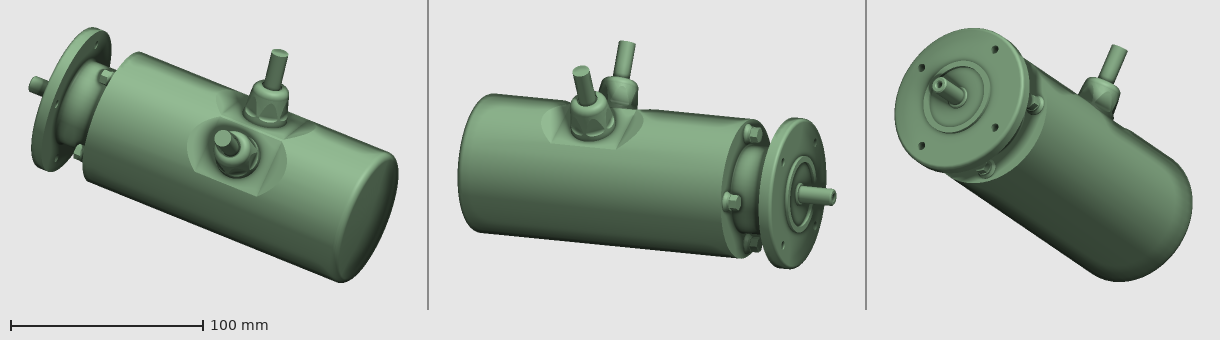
import cadquery as cq
import math


pilot_face_x = 17.7
flange_front_x = 19.5
flange_back_x = 26.3
housing_front_x = 48.8
housing_end_x = 199.0

housing_dia = 73.0
end_corner_radius = 3.5
end_dome_rise = 1.3
neck_dia = 46.0
neck_root_fillet = 1.4
neck_end_fillet = 0.5
flange_dia = 79.0
flange_edge_fillet = 1.8
flange_hole_dia = 4.5
flange_hole_spacing = 44.5
pilot_dia = 40.0
pilot_recess_dia = 34.0

shaft_dia = 9.0
shaft_tip_dia = 7.5
shaft_hole_dia = 3.4
shaft_hole_mouth_dia = 4.5
shaft_hole_depth = 8.0
drill_point_angle = 118
shaft_collar_dia = 12.0
shaft_collar_top_dia = 10.7
shaft_collar_height = 1.2

hexagon_sides = 6

screw_count = 4
screw_circle_radius = 29.5
screw_height = 7.2
screw_across_flats = 7.2
screw_tip_dia = 7.5
screw_tip_chamfer_angle = 30
screw_collar_dia = 8.5
screw_collar_top = 3.2
screw_cone_top = 2.0
screw_washer_dia = 10.7
screw_washer_edge = 0.5

seat_angle = 27.0
seat_x = 129.0
seat_radius = 32.8
seat_length = 36.5
seat_mouth_length = 55.7

gland_base_dia = 23.9
gland_shoulder_dia = 19.7
gland_shoulder_height = 14.7
gland_top_height = 18.5
gland_opening_dia = 10.7
gland_opening_depth = 1.0
gland_across_flats = 20.0
gland_ledge_height = 2.8
gland_ledge_fillet = 2.4
cable_dia = 9.0
cable_end_height = 38.2


def turned(outline):
    """Turn an outline of (X, radius) points about the motor axis."""
    return outline.close().revolve(360, (0, 0, 0), (1, 0, 0))


def make_flange_and_neck():
    """Mounting flange with its hollow pilot ring and shaft collar, and the neck behind it."""
    collar_top_x = flange_front_x - shaft_collar_height
    collar_chamfer = (shaft_collar_dia - shaft_collar_top_dia) / 2
    outline = (
        cq.Workplane("XY")
        .moveTo(collar_top_x, 0)
        .lineTo(collar_top_x, shaft_collar_top_dia / 2)
        .lineTo(collar_top_x + collar_chamfer, shaft_collar_dia / 2)
        .lineTo(flange_front_x, shaft_collar_dia / 2)
        .lineTo(flange_front_x, pilot_recess_dia / 2)
        .lineTo(pilot_face_x, pilot_recess_dia / 2)
        .lineTo(pilot_face_x, pilot_dia / 2)
        .lineTo(flange_front_x, pilot_dia / 2)
        .lineTo(flange_front_x, flange_dia / 2 - flange_edge_fillet)
        .radiusArc((flange_front_x + flange_edge_fillet, flange_dia / 2), flange_edge_fillet)
        .lineTo(flange_back_x, flange_dia / 2)
        .lineTo(flange_back_x, neck_dia / 2 + neck_root_fillet)
        .radiusArc((flange_back_x + neck_root_fillet, neck_dia / 2), -neck_root_fillet)
        .lineTo(housing_front_x - neck_end_fillet, neck_dia / 2)
        .radiusArc((housing_front_x, neck_dia / 2 + neck_end_fillet), -neck_end_fillet)
        .lineTo(housing_front_x, 0)
    )
    holes = (
        cq.Workplane("YZ", origin=(flange_front_x, 0, 0))
        .rect(flange_hole_spacing, flange_hole_spacing, forConstruction=True)
        .vertices()
        .circle(flange_hole_dia / 2)
        .extrude(flange_back_x - flange_front_x)
    )
    return turned(outline).cut(holes)


def make_shaft():
    """Shaft with a chamfered tip and a countersunk centre hole."""
    tip_chamfer = (shaft_dia - shaft_tip_dia) / 2
    countersink_depth = (shaft_hole_mouth_dia - shaft_hole_dia) / 2
    drill_point_depth = shaft_hole_dia / 2 / math.tan(math.radians(drill_point_angle / 2))
    outline = (
        cq.Workplane("XY")
        .moveTo(shaft_hole_depth + drill_point_depth, 0)
        .lineTo(shaft_hole_depth, shaft_hole_dia / 2)
        .lineTo(countersink_depth, shaft_hole_dia / 2)
        .lineTo(0, shaft_hole_mouth_dia / 2)
        .lineTo(0, shaft_tip_dia / 2)
        .lineTo(tip_chamfer, shaft_dia / 2)
        .lineTo(flange_back_x, shaft_dia / 2)
        .lineTo(flange_back_x, 0)
    )
    return turned(outline)


def make_seat_cutter():
    """Space above a flat seat, with end faces that lean outwards, around the +Z direction."""
    seat_depth = housing_dia / 2 - seat_radius
    end_spread = (seat_mouth_length - seat_length) / 2
    top_radius = housing_dia / 2 + seat_depth
    top_half_length = seat_mouth_length / 2 + end_spread
    return (
        cq.Workplane("XZ")
        .moveTo(seat_x - seat_length / 2, seat_radius)
        .lineTo(seat_x + seat_length / 2, seat_radius)
        .lineTo(seat_x + top_half_length, top_radius)
        .lineTo(seat_x - top_half_length, top_radius)
        .close()
        .extrude(housing_dia / 2, both=True)
    )


def make_housing():
    """Cylindrical housing with a rounded, slightly domed rear end and two flat seats."""
    dome_edge_x = housing_end_x - end_dome_rise
    dome_edge_radius = housing_dia / 2 - end_corner_radius
    dome_radius = (dome_edge_radius**2 + end_dome_rise**2) / (2 * end_dome_rise)
    outline = (
        cq.Workplane("XY")
        .moveTo(housing_front_x, 0)
        .lineTo(housing_front_x, housing_dia / 2)
        .lineTo(dome_edge_x - end_corner_radius, housing_dia / 2)
        .radiusArc((dome_edge_x, dome_edge_radius), end_corner_radius)
        .radiusArc((housing_end_x, 0), dome_radius)
    )
    housing = turned(outline)
    for angle in (seat_angle, -seat_angle):
        housing = housing.cut(make_seat_cutter().rotate((0, 0, 0), (1, 0, 0), angle))
    return housing


def make_screw(angle):
    """Chamfered hexagonal screw head on a flared washer, standing on the front face of the housing."""
    tip_x = housing_front_x - screw_height
    tip_chamfer_width = (screw_collar_dia - screw_tip_dia) / 2
    tip_chamfer_height = tip_chamfer_width * math.tan(math.radians(screw_tip_chamfer_angle))
    envelope = turned(
        cq.Workplane("XY")
        .moveTo(tip_x, 0)
        .lineTo(tip_x, screw_tip_dia / 2)
        .lineTo(tip_x + tip_chamfer_height, screw_collar_dia / 2)
        .lineTo(housing_front_x - screw_cone_top, screw_collar_dia / 2)
        .lineTo(housing_front_x - screw_washer_edge, screw_washer_dia / 2)
        .lineTo(housing_front_x, screw_washer_dia / 2)
        .lineTo(housing_front_x, 0)
    )
    hexagon_length = screw_height - screw_collar_top
    around_hexagon = (
        cq.Workplane("YZ", origin=(tip_x, 0, 0))
        .circle(screw_washer_dia)
        .polygon(hexagon_sides, screw_across_flats, circumscribed=True)
        .extrude(hexagon_length)
        .rotate((0, 0, 0), (1, 0, 0), 180 / hexagon_sides)
    )
    screw = envelope.cut(around_hexagon).translate((0, 0, screw_circle_radius))
    return screw.rotate((0, 0, 0), (1, 0, 0), angle)


def make_motor():
    """Housing, flange, shaft and screw heads as one solid."""
    motor = make_housing().union(make_flange_and_neck()).union(make_shaft())
    for index in range(screw_count):
        motor = motor.union(make_screw(index * 360 / screw_count))
    return motor.solids()


def make_gland_flats_cutter():
    """Space around the hexagon of a gland, with a rounded ledge below each flat."""
    height = gland_top_height - gland_ledge_height
    cutter = (
        cq.Workplane("XY", origin=(0, 0, gland_ledge_height))
        .circle(gland_base_dia)
        .polygon(hexagon_sides, gland_across_flats, circumscribed=True)
        .extrude(height)
    )
    return cutter.faces("<Z").edges("%LINE").fillet(gland_ledge_fillet)


def make_gland(angle):
    """Conical cable gland with six flats, a rounded top and a length of cable."""
    top_fillet = gland_top_height - gland_shoulder_height
    shoulder_radius = gland_shoulder_dia / 2
    opening_floor = gland_top_height - gland_opening_depth
    nut = (
        cq.Workplane("XZ")
        .lineTo(gland_base_dia / 2, 0)
        .lineTo(shoulder_radius, gland_shoulder_height)
        .radiusArc((shoulder_radius - top_fillet, gland_top_height), -top_fillet)
        .lineTo(gland_opening_dia / 2, gland_top_height)
        .lineTo(gland_opening_dia / 2, opening_floor)
        .lineTo(0, opening_floor)
        .close()
        .revolve(360, (0, 0, 0), (0, 1, 0))
    )
    cable = cq.Workplane("XY").circle(cable_dia / 2).extrude(cable_end_height)
    gland = nut.cut(make_gland_flats_cutter()).union(cable)
    return gland.translate((seat_x, 0, seat_radius)).rotate((0, 0, 0), (1, 0, 0), angle).solids()


motor = make_motor()
glands = [make_gland(angle) for angle in (seat_angle, -seat_angle)]

result = cq.Compound.makeCompound([motor.val(), *[gland.val() for gland in glands]])